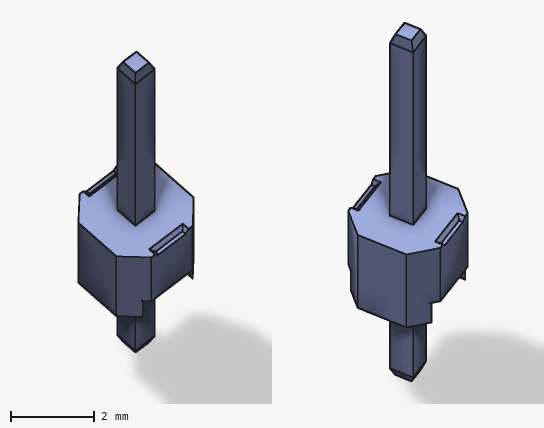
import cadquery as cq

body_width = 2.54
body_height = 2.5
corner_chamfer = 0.6

channel_width = 1.65
channel_height = 0.67

recess_length = 1.1
recess_reach = 0.21
recess_depth = 0.1
recess_wall_angle = 45

pin_length = 11.7
pin_width = 0.64
pin_below_body = 3.01
tip_width = 0.45
tip_height = 0.27


def make_body():
    """Octagonal block with a channel through its foot."""
    block = (
        cq.Workplane("XY")
        .rect(body_width, body_width)
        .extrude(body_height)
        .edges("|Z")
        .chamfer(corner_chamfer)
    )
    channel = cq.Workplane("XY").box(
        body_width, channel_width, channel_height, centered=(True, True, False)
    )
    return block.cut(channel)


def make_recess(side):
    """Cutter centred on a side face, so that half of it lies in the body."""
    return (
        cq.Workplane("XY")
        .workplane(offset=body_height)
        .center(side * body_width / 2, 0)
        .rect(2 * recess_reach, recess_length)
        .extrude(-recess_depth, taper=recess_wall_angle)
    )


def make_tip(base_z, direction):
    """Tapered pin end pointing up (direction 1) or down (direction -1)."""
    return (
        cq.Workplane("XY")
        .workplane(offset=base_z)
        .rect(pin_width, pin_width)
        .workplane(offset=direction * tip_height)
        .rect(tip_width, tip_width)
        .loft()
    )


def make_pin():
    """Straight square shank with a tip at each end."""
    shank_bottom = tip_height - pin_below_body
    shank_length = pin_length - 2 * tip_height
    shank = (
        cq.Workplane("XY")
        .workplane(offset=shank_bottom)
        .rect(pin_width, pin_width)
        .extrude(shank_length)
    )
    upper_tip = make_tip(shank_bottom + shank_length, 1)
    lower_tip = make_tip(shank_bottom, -1)
    return shank.union(upper_tip).union(lower_tip)


body = make_body()
for side in (-1, 1):
    body = body.cut(make_recess(side))

result = body.union(make_pin())